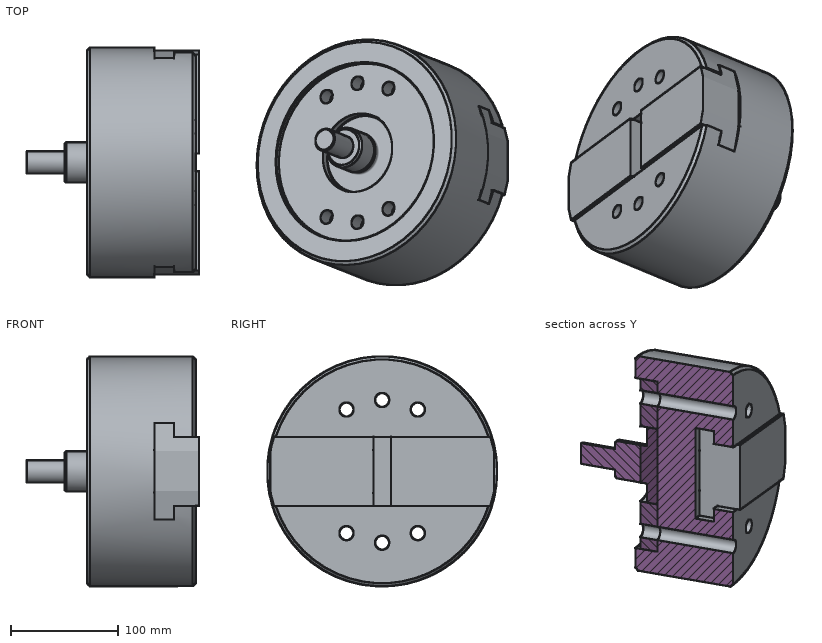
import cadquery as cq
import math


body_radius = 107.5
body_length = 102.0
body_chamfer = 3.0

recess_radius = 84.7
recess_mouth_chamfer = 0.6
plate_setback = 5.2
plate_bore_radius = 37.5

hole_radius = 6.5
hole_circle_radius = 66.6
hole_spacing_angle = 30.0
holes_per_group = 3

piston_setback = 12.3
piston_thickness = 10.8
piston_chamfer = 1.0
neck_fillet = 1.4
recess_depth = piston_setback + piston_thickness

hub_radius = 19.0
hub_projection = 21.0
hub_chamfer = 2.0
shaft_radius = 10.5
shaft_length = 35.5
shaft_chamfer = 0.9

joint_depth = 5.2
joint_chamfer = 1.0

jaw_protrusion = 3.0
jaw_height = 42.0
foot_height = 18.5
foot_half_width = 45.0
neck_half_width = 32.2
keel_radius = 20.0
keel_outer_y = 104.3
jaw_inner_y = 8.2
jaw_outer_y = 104.7
jaw_flat_half_width = 18.7
jaw_side_angle = 15.0
jaw_sides = (-1, 1)
jaw_front = body_length + jaw_protrusion
jaw_base = jaw_front - jaw_height
foot_front = jaw_base + foot_height


def disc(radius, start, end):
    """Cylinder on the chuck axis between two X positions."""
    return cq.Workplane("YZ", origin=(start, 0, 0)).circle(radius).extrude(end - start)


def through_holes():
    """Cutting cylinders for the two groups of holes, above and below the axis."""
    points = []
    for group_angle in (90, -90):
        for step in range(holes_per_group):
            offset = (step - (holes_per_group - 1) / 2) * hole_spacing_angle
            angle = math.radians(group_angle + offset)
            points.append((hole_circle_radius * math.cos(angle), hole_circle_radius * math.sin(angle)))
    return cq.Workplane("YZ").pushPoints(points).circle(hole_radius).extrude(body_length)


def t_bar():
    """Bar along Y, right across the body, with the T-shaped jaw section."""
    return (
        cq.Workplane("XZ")
        .moveTo(jaw_base, -foot_half_width)
        .lineTo(foot_front, -foot_half_width)
        .lineTo(foot_front, -neck_half_width)
        .lineTo(jaw_front, -neck_half_width)
        .lineTo(jaw_front, neck_half_width)
        .lineTo(foot_front, neck_half_width)
        .lineTo(foot_front, foot_half_width)
        .lineTo(jaw_base, foot_half_width)
        .close()
        .extrude(body_radius, both=True)
    )


def keel(side):
    """Half-round bar along Y on the base of one jaw, with flat ends."""
    return (
        cq.Workplane("XZ", origin=(0, side * jaw_inner_y, 0))
        .moveTo(jaw_base, -keel_radius)
        .threePointArc((jaw_base - keel_radius, 0), (jaw_base, keel_radius))
        .close()
        .extrude(-side * (keel_outer_y - jaw_inner_y))
    )


def jaw_outline(side):
    """Prism along X around one jaw: flat inner end, outer end flat with two sloping sides."""
    slope_drop = (foot_half_width - jaw_flat_half_width) * math.tan(math.radians(jaw_side_angle))
    side_y = jaw_outer_y - slope_drop
    return (
        cq.Workplane("YZ")
        .moveTo(side * jaw_inner_y, -foot_half_width)
        .lineTo(side * side_y, -foot_half_width)
        .lineTo(side * jaw_outer_y, -jaw_flat_half_width)
        .lineTo(side * jaw_outer_y, jaw_flat_half_width)
        .lineTo(side * side_y, foot_half_width)
        .lineTo(side * jaw_inner_y, foot_half_width)
        .close()
        .extrude(jaw_front)
    )


def make_body():
    """Body with the rear recess, the mounting holes, the T-slot and a blind groove for each keel."""
    body = disc(body_radius, 0, body_length).faces("<X or >X").chamfer(body_chamfer)
    body = body.cut(disc(recess_radius, 0, recess_depth))
    mouth_edge = cq.selectors.RadiusNthSelector(0)
    body = body.faces("<X").edges(mouth_edge).chamfer(recess_mouth_chamfer)
    body = body.cut(through_holes()).cut(t_bar())
    for side in jaw_sides:
        body = body.cut(keel(side))
    return body


def make_cover_plate():
    """Ring on the floor of the recess, with the mounting holes."""
    plate = disc(recess_radius, plate_setback, recess_depth)
    bore = disc(plate_bore_radius, plate_setback, recess_depth)
    return plate.cut(bore).cut(through_holes())


def make_piston():
    """Disc with a narrower neck; the corner between them is filleted."""
    flange = disc(plate_bore_radius, piston_setback, recess_depth).faces("<X").chamfer(piston_chamfer)
    neck = disc(hub_radius, joint_depth, piston_setback).faces("<X").chamfer(joint_chamfer)
    piston = flange.union(neck)
    neck_root = cq.selectors.RadiusNthSelector(0)
    return piston.faces("|X").faces("<X[1]").edges(neck_root).fillet(neck_fillet)


def make_spindle():
    """Hub and thinner shaft in one piece, projecting to the rear."""
    hub = (
        disc(hub_radius, -hub_projection, joint_depth)
        .faces("<X")
        .chamfer(hub_chamfer)
        .faces(">X")
        .chamfer(joint_chamfer)
    )
    shaft_tip = -hub_projection - shaft_length
    shaft = disc(shaft_radius, shaft_tip, -hub_projection).faces("<X").chamfer(shaft_chamfer)
    return hub.union(shaft)


def make_jaw(side):
    """Jaw on the +Y (side = 1) or -Y (side = -1) half."""
    return t_bar().intersect(jaw_outline(side)).union(keel(side))


body = make_body()
cover_plate = make_cover_plate()
piston = make_piston()
spindle = make_spindle()
jaws = [make_jaw(side) for side in jaw_sides]

result = cq.Compound.makeCompound(
    [
        body.val(),
        cover_plate.val(),
        piston.val(),
        spindle.val(),
        *[jaw.val() for jaw in jaws],
    ]
)